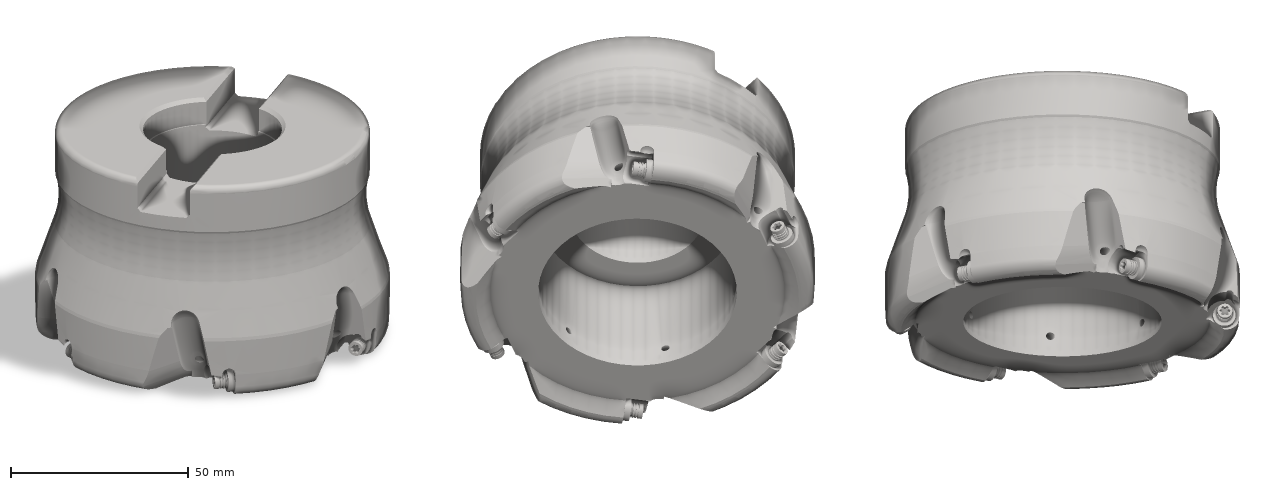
import cadquery as cq
import math

height = 62.3
rim_radius = 50.0
rim_top = 17.5
rim_bottom = 7.1
rim_end_radius = 49.8
cone_bottom_radius = 49.8
cone_bottom = 18.4
cone_top_radius = 44.6
cone_top = 33.5
neck_radius = 43.4
neck_height = 41.0
hub_radius = 44.4
hub_bottom = 48.6
hub_lip_radius = 44.1
hub_lip = 48.0
hub_top_fillet = 2.0
corner_radius = 3.5

bore_radius = 19.1
pilot_radius = 19.6
pilot_depth = 7.8
bore_chamfer = 1.0
counterbore_radius = 28.0
counterbore_top = 36.0
recess_depth = 2.8
recess_mouth_radius = 45.5
recess_floor_radius = 41.5
slot_width = 15.6
slot_depth = 9.6
slot_chamfer = 1.0

tooth_count = 6
tooth_step = 360 / tooth_count

gullet_radius = 4.0
gullet_end = (45.4, -17.3, 21.8)
gullet_axis = (0.12, -0.2, 1.0)
gullet_length = 30.0
gullet_reach = 15.0

relief_start = -14.0
relief_sweep = (1.1, -20.0, -5.0)
relief_top = (43.4, 22.5)
relief_break = (41.3, 10.1)
relief_bend = (40.6, 7.7)
relief_low = (39.5, 5.2)
relief_end = (35.3, -2.0)
relief_outside = 58.0

screw_x = 45.4
screw_z = 3.6
seat_y = -3.6
pocket_radius = 5.0
pocket_front_y = -13.0
corner_relief_radius = 1.2
corner_relief_x = 46.6
corner_relief_top = 9.1
edge_relief_radius = 1.9
edge_relief_x = 49.5
edge_relief_top = 9.1

coolant_radius = 1.1
coolant_y = -12.2
coolant_z = 8.8
coolant_outer_x = 43.0
coolant_inner_x = 20.0

flange_radius = 3.2
flange_thickness = 1.8
head_radius = 2.1
head_length = 3.6
shank_radius = 1.8
shank_length = 6.0
groove_depth = 0.3
groove_width = 0.4
groove_count = 3
groove_pitch = 0.8
first_groove = 0.8
socket_core_radius = 1.1
socket_lobe_radius = 0.4
socket_depth = 1.5
lobe_count = 6


def cylinder_along_y(x, z, y_start, y_end, radius):
    plane = cq.Plane(origin=(x, y_start, z), xDir=(1, 0, 0), normal=(0, 1, 0))
    return cq.Workplane(plane).circle(radius).extrude(y_end - y_start)


def turned_blank():
    corner_inset = corner_radius * (1 - math.sqrt(0.5))
    hub_inset = hub_top_fillet * (1 - math.sqrt(0.5))
    return (
        cq.Workplane("XZ")
        .moveTo(bore_radius, counterbore_top)
        .lineTo(counterbore_radius, counterbore_top)
        .lineTo(counterbore_radius, recess_depth)
        .lineTo(recess_floor_radius, recess_depth)
        .lineTo(recess_mouth_radius, 0)
        .lineTo(rim_end_radius - corner_radius, 0)
        .threePointArc((rim_end_radius - corner_inset, corner_inset), (rim_end_radius, corner_radius))
        .lineTo(rim_radius, rim_bottom)
        .lineTo(rim_radius, rim_top)
        .lineTo(cone_bottom_radius, cone_bottom)
        .lineTo(cone_top_radius, cone_top)
        .threePointArc((neck_radius, neck_height), (hub_lip_radius, hub_lip))
        .lineTo(hub_radius, hub_bottom)
        .lineTo(hub_radius, height - hub_top_fillet)
        .threePointArc((hub_radius - hub_inset, height - hub_inset), (hub_radius - hub_top_fillet, height))
        .lineTo(pilot_radius + bore_chamfer, height)
        .lineTo(pilot_radius, height - bore_chamfer)
        .lineTo(pilot_radius, height - pilot_depth)
        .lineTo(bore_radius, height - pilot_depth)
        .close()
        .revolve(360, (0, 0, 0), (0, 1, 0))
    )


def drive_slot():
    half = slot_width / 2
    floor = height - slot_depth
    profile = [
        (half - slot_chamfer, floor),
        (half, floor + slot_chamfer),
        (half, height - slot_chamfer),
        (half + slot_chamfer, height),
    ]
    mirrored = [(-x, z) for x, z in reversed(profile)]
    return cq.Workplane("XZ").polyline(profile + mirrored).close().extrude(rim_radius, both=True)


def gullet_channel():
    frame = cq.Workplane(cq.Plane(origin=gullet_end, xDir=(1, 0, -gullet_axis[0]), normal=gullet_axis))
    floor = frame.circle(gullet_radius).extrude(-gullet_length)
    opening = frame.center(gullet_reach / 2, 0).rect(gullet_reach, 2 * gullet_radius).extrude(-gullet_length)
    ball = cq.Workplane("XY").sphere(gullet_radius).translate(gullet_end)
    outward = cq.Plane(origin=gullet_end, xDir=(0, 1, 0), normal=(1, 0, -gullet_axis[0]))
    ball_exit = cq.Workplane(outward).circle(gullet_radius).extrude(gullet_reach)
    return floor.union(opening).union(ball).union(ball_exit)


def gullet_relief():
    wire = (
        cq.Workplane("XZ", origin=(0, relief_start, 0))
        .moveTo(*relief_top)
        .lineTo(*relief_break)
        .threePointArc(relief_bend, relief_low)
        .lineTo(*relief_end)
        .lineTo(relief_outside, relief_end[1])
        .lineTo(relief_outside, relief_top[1])
        .close()
        .val()
    )
    return cq.Workplane(cq.Solid.extrudeLinear(wire, [], cq.Vector(*relief_sweep)))


def insert_pocket():
    seat = cylinder_along_y(screw_x, screw_z, pocket_front_y, seat_y, pocket_radius)
    corner = cylinder_along_y(corner_relief_x, corner_relief_top - corner_relief_radius,
                              pocket_front_y, seat_y, corner_relief_radius)
    edge_centre = (edge_relief_x, seat_y - edge_relief_radius, edge_relief_top - edge_relief_radius)
    edge = cq.Workplane("XY", origin=edge_centre).circle(edge_relief_radius).extrude(-edge_relief_top)
    edge_ball = cq.Workplane("XY").sphere(edge_relief_radius).translate(edge_centre)
    return seat.union(corner).union(edge).union(edge_ball)


def screw_hole():
    return cylinder_along_y(screw_x, screw_z, seat_y, seat_y + shank_length, shank_radius)


def coolant_hole():
    return (
        cq.Workplane("YZ", origin=(coolant_inner_x, 0, 0))
        .center(coolant_y, coolant_z)
        .circle(coolant_radius)
        .extrude(coolant_outer_x - coolant_inner_x)
    )


def clamping_screw():
    flange_y = seat_y - flange_thickness
    head_y = flange_y - head_length
    screw = cylinder_along_y(screw_x, screw_z, seat_y, seat_y + shank_length, shank_radius)
    screw = screw.union(cylinder_along_y(screw_x, screw_z, flange_y, seat_y, flange_radius))
    screw = screw.union(cylinder_along_y(screw_x, screw_z, head_y, flange_y, head_radius))
    for i in range(groove_count):
        y = flange_y - first_groove - i * groove_pitch
        ring = cylinder_along_y(screw_x, screw_z, y, y + groove_width, head_radius + groove_depth)
        core = cylinder_along_y(screw_x, screw_z, y, y + groove_width, head_radius - groove_depth)
        screw = screw.cut(ring.cut(core))
    socket_end = head_y + socket_depth
    screw = screw.cut(cylinder_along_y(screw_x, screw_z, head_y, socket_end, socket_core_radius))
    for i in range(lobe_count):
        angle = 2 * math.pi * i / lobe_count
        x = screw_x + socket_core_radius * math.cos(angle)
        z = screw_z + socket_core_radius * math.sin(angle)
        screw = screw.cut(cylinder_along_y(x, z, head_y, socket_end, socket_lobe_radius))
    return screw


def at_tooth(shape, index):
    return shape.rotate((0, 0, 0), (0, 0, 1), index * tooth_step)


body = turned_blank().cut(drive_slot())
tooth_cuts = [gullet_channel(), gullet_relief(), insert_pocket(), screw_hole(), coolant_hole()]
for tooth in range(tooth_count):
    for cutter in tooth_cuts:
        body = body.cut(at_tooth(cutter, tooth))

screw_pattern = clamping_screw()
screws = [at_tooth(screw_pattern, tooth).val() for tooth in range(tooth_count)]

result = cq.Compound.makeCompound([body.val(), *screws])